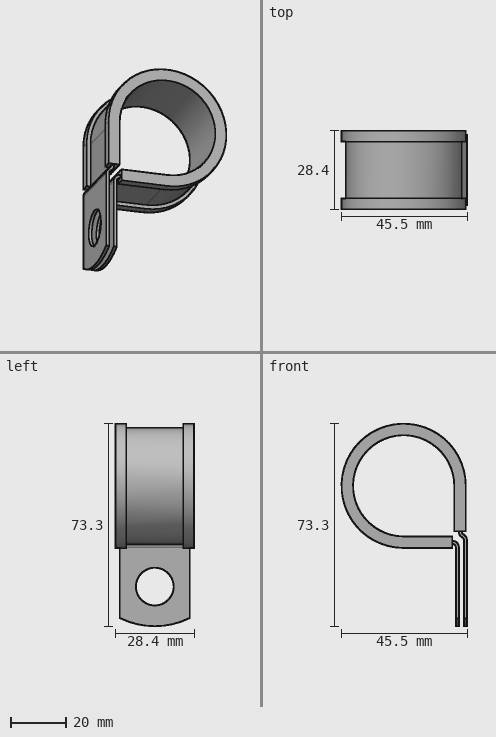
import cadquery as cq
import math


cushion_radius = 22.5
cushion_wall = 4.25
cushion_width = 28.4
rim_width = 3.95
upright_leg_length = 16.5
level_leg_length = 17.6

strap_radius = 21.0
strap_thickness = 1.2
strap_width = 25.35
bend_radius = 1.25

tab_bottom = -50.8
tab_end_rise = 3.0
outer_tab_face = 22.95
hole_diameter = 13.55
hole_height = -36.4

bend_outer_radius = bend_radius + strap_thickness
strap_inner_radius = strap_radius - strap_thickness
groove_width = cushion_width - 2 * rim_width


def centred_prism(profile, width):
    """Extrude an XZ profile equally to both sides of Y = 0."""
    return profile.extrude(width / 2, both=True)


def loop(outer_radius, inner_radius, width):
    """Three-quarter ring with a downward leg at +X and a +X leg at the bottom."""
    profile = (
        cq.Workplane("XZ")
        .moveTo(outer_radius, -upright_leg_length)
        .lineTo(outer_radius, 0)
        .threePointArc(diagonal_point(outer_radius), (0, -outer_radius))
        .lineTo(level_leg_length, -outer_radius)
        .lineTo(level_leg_length, -inner_radius)
        .lineTo(0, -inner_radius)
        .threePointArc(diagonal_point(inner_radius), (inner_radius, 0))
        .lineTo(inner_radius, -upright_leg_length)
        .close()
    )
    return centred_prism(profile, width)


def diagonal_point(radius):
    """Middle of the loop arc, up and to the left of the axis."""
    offset = radius * math.sqrt(0.5)
    return (-offset, offset)


def level_leg_tab():
    """Strap leaving the level leg and turning a quarter circle downward."""
    bend_z = -strap_inner_radius - bend_outer_radius
    inner_x = level_leg_length + bend_radius
    outer_x = level_leg_length + bend_outer_radius
    slant = math.sqrt(0.5)
    profile = (
        cq.Workplane("XZ")
        .moveTo(level_leg_length, -strap_inner_radius)
        .threePointArc(
            (level_leg_length + bend_outer_radius * slant, bend_z + bend_outer_radius * slant),
            (outer_x, bend_z),
        )
        .lineTo(outer_x, tab_bottom)
        .lineTo(inner_x, tab_bottom)
        .lineTo(inner_x, bend_z)
        .threePointArc(
            (level_leg_length + bend_radius * slant, bend_z + bend_radius * slant),
            (level_leg_length, -strap_radius),
        )
        .close()
    )
    return centred_prism(profile, strap_width)


def upright_leg_tab():
    """Strap leaving the upright leg through an S-bend that shifts it outward."""
    radii_sum = bend_radius + bend_outer_radius
    shift = outer_tab_face - strap_radius
    bend_angle = math.acos(1 - shift / radii_sum)
    start_z = -upright_leg_length
    end_z = start_z - radii_sum * math.sin(bend_angle)
    first_centre_x = strap_radius + bend_radius
    second_centre_x = outer_tab_face - bend_outer_radius

    def first_bend(radius, angle):
        return (first_centre_x - radius * math.cos(angle), start_z - radius * math.sin(angle))

    def second_bend(radius, angle):
        return (second_centre_x + radius * math.cos(angle), end_z + radius * math.sin(angle))

    half_angle = bend_angle / 2
    profile = (
        cq.Workplane("XZ")
        .moveTo(*first_bend(bend_radius, 0))
        .threePointArc(
            first_bend(bend_radius, half_angle),
            first_bend(bend_radius, bend_angle),
        )
        .threePointArc(second_bend(bend_outer_radius, half_angle), second_bend(bend_outer_radius, 0))
        .lineTo(outer_tab_face, tab_bottom)
        .lineTo(outer_tab_face - strap_thickness, tab_bottom)
        .lineTo(*second_bend(bend_radius, 0))
        .threePointArc(
            second_bend(bend_radius, half_angle),
            second_bend(bend_radius, bend_angle),
        )
        .threePointArc(first_bend(bend_outer_radius, half_angle), first_bend(bend_outer_radius, 0))
        .close()
    )
    return centred_prism(profile, strap_width)


def tab_outline():
    """Solid bounding both tabs: straight sides and a shallow rounded lower end."""
    half_width = strap_width / 2
    side_bottom = tab_bottom + tab_end_rise
    return (
        cq.Workplane("YZ")
        .moveTo(-half_width, 0)
        .lineTo(-half_width, side_bottom)
        .threePointArc((0, tab_bottom), (half_width, side_bottom))
        .lineTo(half_width, 0)
        .close()
        .extrude(outer_tab_face)
    )


def mounting_hole():
    """Cylinder along X that pierces both tabs."""
    return (
        cq.Workplane("YZ")
        .center(0, hole_height)
        .circle(hole_diameter / 2)
        .extrude(outer_tab_face)
    )


cushion_inner_radius = cushion_radius - cushion_wall
rims = loop(cushion_radius, cushion_inner_radius, cushion_width).cut(
    loop(cushion_radius, cushion_inner_radius, groove_width)
)
band = loop(strap_radius, cushion_inner_radius, groove_width)

tabs = level_leg_tab().union(upright_leg_tab())
tabs = tabs.intersect(tab_outline()).cut(mounting_hole())

result = rims.union(band).union(tabs)